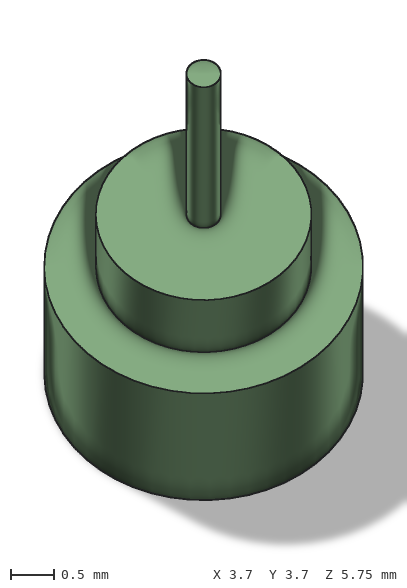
import cadquery as cq

base_diameter = 3.7
base_height = 2.05
collar_diameter = 2.5
collar_height = 1.0
insulator_diameter = 1.95
pin_diameter = 0.4
pin_length = 2.7

collar_bottom = base_height
collar_top = collar_bottom + collar_height


def cylinder(diameter, bottom, height):
    """Upright cylinder centred on the Z axis."""
    return cq.Workplane("XY").workplane(offset=bottom).circle(diameter / 2).extrude(height)


base = cylinder(base_diameter, 0, base_height)
insulator = cylinder(insulator_diameter, collar_bottom, collar_height)
collar = cylinder(collar_diameter, collar_bottom, collar_height).cut(insulator)
pin = cylinder(pin_diameter, collar_top, pin_length)

result = base
for piece in (collar, insulator, pin):
    result = result.union(piece, clean=False)